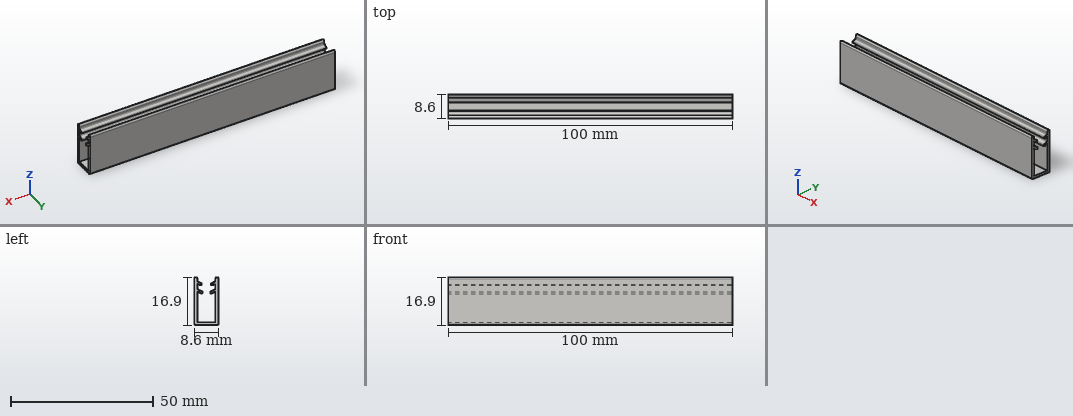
import cadquery as cq
import math

LENGTH = 100.0
WIDTH = 8.6
HEIGHT = 16.85

WALL = 1.2
FLOOR = 1.0
OUTER_RADIUS = 0.55
RIM_INNER_RADIUS = WALL - OUTER_RADIUS

BARB_THICKNESS = 0.85
BARB_ANGLE = math.radians(25.0)
BARB_ROOT_RADIUS = 0.3
UPPER_BARB_REACH = 1.5
UPPER_BARB_DEPTH = 2.9
LOWER_BARB_REACH = 1.8
LOWER_BARB_DEPTH = 5.8

TOP = HEIGHT / 2
OUTER_FACE = WIDTH / 2
INNER_FACE = OUTER_FACE - WALL
BARB_TIP_RADIUS = BARB_THICKNESS / 2


def make_half_channel():
    """+Y half of the plain U channel; two rounds meet at the crest of its wall."""
    crest_y = OUTER_FACE - OUTER_RADIUS
    section = (
        cq.Workplane("YZ")
        .moveTo(0, -TOP)
        .lineTo(crest_y, -TOP)
        .radiusArc((OUTER_FACE, OUTER_RADIUS - TOP), -OUTER_RADIUS)
        .lineTo(OUTER_FACE, TOP - OUTER_RADIUS)
        .radiusArc((crest_y, TOP), -OUTER_RADIUS)
        .radiusArc((INNER_FACE, TOP - RIM_INNER_RADIUS), -RIM_INNER_RADIUS)
        .lineTo(INNER_FACE, FLOOR - TOP)
        .lineTo(0, FLOOR - TOP)
        .close()
    )
    return section.extrude(LENGTH / 2, both=True)


def add_barb(half, reach, depth):
    """Add a full-round-ended barb to the +Y wall and blend its upper side into the wall."""
    slope = math.tan(BARB_ANGLE)
    offset_y = BARB_TIP_RADIUS * math.sin(BARB_ANGLE)
    offset_z = BARB_TIP_RADIUS * math.cos(BARB_ANGLE)
    half_height = BARB_TIP_RADIUS / math.cos(BARB_ANGLE)

    centre_y = INNER_FACE - reach + BARB_TIP_RADIUS
    centre_z = TOP - depth + BARB_TIP_RADIUS
    tip = (centre_y - offset_z, centre_z - offset_y)
    buried_y = INNER_FACE + WALL / 2
    buried_z = centre_z + (buried_y - centre_y) * slope
    barb = (
        cq.Workplane("YZ")
        .moveTo(buried_y, buried_z + half_height)
        .lineTo(centre_y - offset_y, centre_z + offset_z)
        .threePointArc(tip, (centre_y + offset_y, centre_z - offset_z))
        .lineTo(buried_y, buried_z - half_height)
        .close()
        .extrude(LENGTH / 2, both=True)
    )

    root_z = centre_z + (INNER_FACE - centre_y) * slope + half_height
    root_edge = cq.NearestToPointSelector((0, INNER_FACE, root_z))
    return half.union(barb).edges(root_edge).fillet(BARB_ROOT_RADIUS)


half_channel = make_half_channel()
half_channel = add_barb(half_channel, UPPER_BARB_REACH, UPPER_BARB_DEPTH)
half_channel = add_barb(half_channel, LOWER_BARB_REACH, LOWER_BARB_DEPTH)
result = half_channel.union(half_channel.mirror("XZ")).clean()